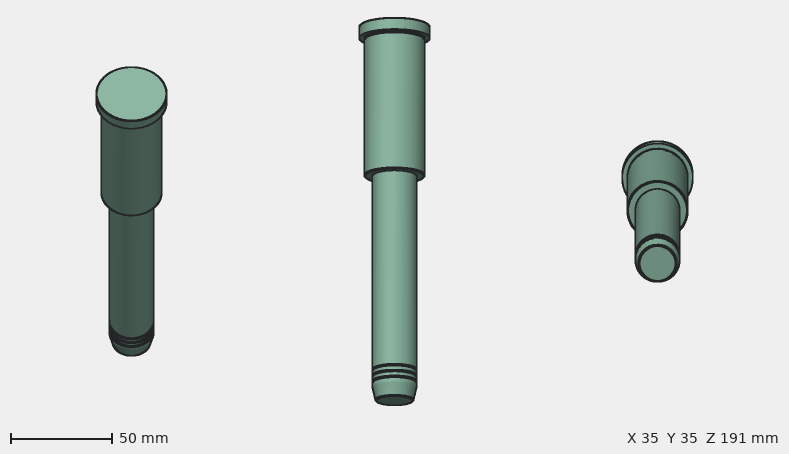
import cadquery as cq

total_length = 191.0
head_diameter = 35.0
head_height = 6.0
head_chamfer = 0.4
body_diameter = 30.0
body_bottom = 114.6
body_chamfer = 0.5

relief_width = 1.1

shank_diameter = 22.0
taper_height = 7.0
foot_diameter = 18.7
foot_chamfer = 0.5

groove_count = 3
groove_width = 1.0
land_width = 2 * groove_width
groove_pitch = groove_width + land_width
lowest_groove_bottom = taper_height + land_width


def cylinder(diameter, bottom, top):
    """Cylinder on the Z axis between two heights."""
    return cq.Workplane("XY").workplane(offset=bottom).circle(diameter / 2).extrude(top - bottom)


def ring_groove(diameter, bottom, width):
    """Ring that cuts a 90 degree V groove into a cylinder of the given diameter."""
    radius = diameter / 2
    middle = bottom + width / 2
    return (
        cq.Workplane("XZ")
        .moveTo(radius - width / 2, middle)
        .lineTo(radius, bottom)
        .lineTo(radius + width / 2, middle)
        .lineTo(radius, bottom + width)
        .close()
        .revolve(360, (0, 0, 0), (0, 1, 0))
    )


head_bottom = total_length - head_height
head = cylinder(head_diameter, head_bottom, total_length).faces(">Z").chamfer(head_chamfer)
body = cylinder(body_diameter, body_bottom, head_bottom).faces("<Z").chamfer(body_chamfer)
shank = cylinder(shank_diameter, taper_height, body_bottom)

foot = (
    cq.Workplane("XY")
    .circle(foot_diameter / 2)
    .workplane(offset=taper_height)
    .circle(shank_diameter / 2)
    .loft(ruled=True)
    .faces("<Z")
    .chamfer(foot_chamfer)
)

result = head.union(body).union(shank).union(foot)

relief_bottom = head_bottom - relief_width
result = result.cut(ring_groove(body_diameter, relief_bottom, relief_width))
for index in range(groove_count):
    bottom = lowest_groove_bottom + index * groove_pitch
    result = result.cut(ring_groove(shank_diameter, bottom, groove_width))